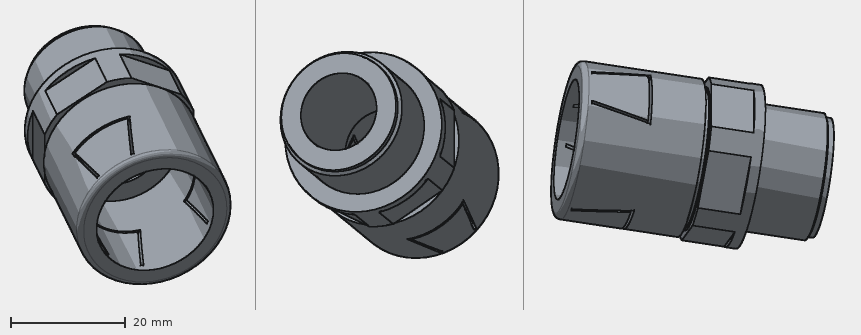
import cadquery as cq

full_turn = 360

total_length = 45.5
bore_diameter = 14.0

tip_diameter = 21.2
tip_length = 1.0
tip_chamfer_length = 0.3
spigot_diameter = 22.5

collar_diameter = 29.0
collar_start = 13.05
collar_end = 22.5
flats_start = 14.95
flats_width = 27.03
flat_count = 6

neck_diameter = 25.0
neck_flare = 0.25

nut_start = 23.55
nut_diameter = 28.0
nut_edge_radius = 1.0
cavity_diameter = 21.2

tongue_angles = (30, 150, 270)
slot_start = 33.15
slot_end = 43.8
slot_width = 0.5
tongue_base_half_width = 6.0
tongue_tip_half_width = 3.85


def cylinder(diameter, start, end):
    return cq.Workplane("YZ", origin=(start, 0, 0)).circle(diameter / 2).extrude(end - start)


def revolve_about_x(profile):
    return cq.Workplane("XY").polyline(profile).close().revolve(full_turn, (0, 0, 0), (1, 0, 0))


def make_spigot():
    tip_radius = tip_diameter / 2
    spigot_radius = spigot_diameter / 2
    profile = [
        (0, 0),
        (0, tip_radius),
        (tip_length, tip_radius),
        (tip_length + tip_chamfer_length, spigot_radius),
        (collar_start, spigot_radius),
        (collar_start, 0),
    ]
    return revolve_about_x(profile)


def make_collar():
    collar = cylinder(collar_diameter, collar_start, collar_end)
    flat_depth = (collar_diameter - flats_width) / 2
    cutter = cq.Workplane("XY").box(
        collar_end - flats_start, collar_diameter, flat_depth, centered=(False, True, False)
    ).translate((flats_start, 0, flats_width / 2))
    for index in range(flat_count):
        angle = (index + 0.5) * full_turn / flat_count
        collar = collar.cut(cutter.rotate((0, 0, 0), (1, 0, 0), angle))
    return collar


def make_neck():
    neck_radius = neck_diameter / 2
    flare_radius = neck_radius + neck_flare
    profile = [
        (collar_end, 0),
        (collar_end, flare_radius),
        (collar_end + neck_flare, neck_radius),
        (nut_start - neck_flare, neck_radius),
        (nut_start, flare_radius),
        (nut_start, 0),
    ]
    return revolve_about_x(profile)


def make_nut():
    nut = cylinder(nut_diameter, nut_start, total_length)
    return nut.faces(">X").edges().fillet(nut_edge_radius)


def tongue_slots():
    """One cross slot and two converging side slots, cut straight through the upper wall."""
    cross_slot_end = slot_start + slot_width
    outer = [
        (slot_start, -tongue_base_half_width),
        (slot_end, -tongue_tip_half_width),
        (slot_end, tongue_tip_half_width),
        (slot_start, tongue_base_half_width),
    ]
    tongue = [
        (cross_slot_end, slot_width - tongue_base_half_width),
        (slot_end, slot_width - tongue_tip_half_width),
        (slot_end, tongue_tip_half_width - slot_width),
        (cross_slot_end, tongue_base_half_width - slot_width),
    ]
    outline = cq.Workplane("XY").polyline(outer).close().extrude(nut_diameter)
    return outline.cut(cq.Workplane("XY").polyline(tongue).close().extrude(nut_diameter))


result = make_spigot().union(make_collar()).union(make_neck()).union(make_nut())
result = result.cut(cylinder(bore_diameter, 0, total_length))
result = result.cut(cylinder(cavity_diameter, nut_start, total_length))
for tongue_angle in tongue_angles:
    result = result.cut(tongue_slots().rotate((0, 0, 0), (1, 0, 0), tongue_angle))